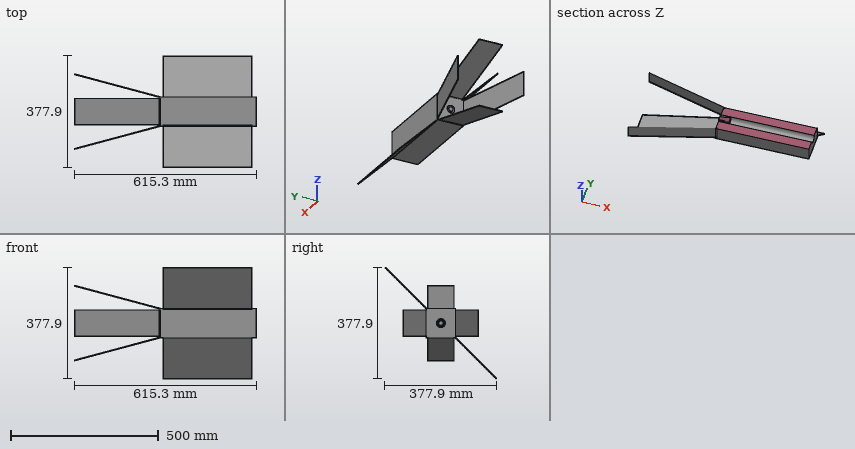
import cadquery as cq
import math

body_length = 330.0
body_width = 100.0
half_width = body_width / 2

bore_radius = 14.4

flap_length = 300.0
flap_width = 90.0
flap_thickness = 3.0
flap_angle = 15.0
flap_overlap = 5.0
flap_count = 4

fin_length = 300.0
fin_width = 200.0
fin_thickness = 3.0
fin_start = 15.0
fin_embed = 5.0
fin_inner_radius = half_width * math.sqrt(2) - fin_embed
fin_angles = (135, 315)

pin_length = 40.0
pin_radius = 8.3
pin_protrusion = 3.0
dome_height = 2.6
sleeve_outer_radius = 12.0
sleeve_inner_radius = 10.2
sleeve_recess = 20.0
spoke_count = 4
spoke_thickness = 1.0


def turned(part, angle):
    """Turn a part about the X axis."""
    return part.rotate((0, 0, 0), (1, 0, 0), angle)


def make_flap(angle):
    """Plate tilted about the middle of its thickness on the top front edge."""
    plate = cq.Workplane("XY").box(flap_length, flap_width, flap_thickness)
    plate = plate.translate((flap_overlap - flap_length / 2, 0, 0))
    tilted = plate.rotate((0, 0, 0), (0, 1, 0), flap_angle)
    return turned(tilted.translate((0, 0, half_width)), angle)


def make_fin(angle):
    """Radial plate reaching outwards from a body corner."""
    blade = cq.Workplane("XY").box(
        fin_length, fin_width, fin_thickness, centered=(False, False, True)
    )
    return turned(blade.translate((fin_start, fin_inner_radius, 0)), angle)


def make_body(embedded_parts):
    """Bored square block with a matching recess for each embedded part."""
    block = (
        cq.Workplane("YZ")
        .rect(body_width, body_width)
        .circle(bore_radius)
        .extrude(body_length)
    )
    for part in embedded_parts:
        block = block.cut(part)
    return block


def make_pin():
    """Round pin with a shallow spherical dome at the front."""
    dome_radius = (pin_radius**2 + dome_height**2) / (2 * dome_height)
    half_angle = math.asin(pin_radius / dome_radius) / 2
    dome_middle = (
        dome_radius * (1 - math.cos(half_angle)),
        dome_radius * math.sin(half_angle),
    )
    return (
        cq.Workplane("XY")
        .moveTo(0, 0)
        .threePointArc(dome_middle, (dome_height, pin_radius))
        .lineTo(pin_length, pin_radius)
        .lineTo(pin_length, 0)
        .close()
        .revolve(360, (0, 0, 0), (1, 0, 0))
        .translate((-pin_protrusion, 0, 0))
    )


def make_insert():
    """Pin, sleeve and spokes as one solid, all ending at the same depth."""
    sleeve_length = pin_length - pin_protrusion - sleeve_recess
    sleeve_start = cq.Workplane("YZ").workplane(offset=sleeve_recess)
    sleeve = (
        sleeve_start.circle(sleeve_outer_radius)
        .circle(sleeve_inner_radius)
        .extrude(sleeve_length)
    )
    spoke_inner = pin_radius / 2
    spoke_outer = (sleeve_inner_radius + sleeve_outer_radius) / 2
    spoke = (
        sleeve_start.center((spoke_inner + spoke_outer) / 2, 0)
        .rect(spoke_outer - spoke_inner, spoke_thickness)
        .extrude(sleeve_length)
    )
    insert = make_pin().union(sleeve)
    for i in range(spoke_count):
        insert = insert.union(turned(spoke, i * 360 / spoke_count))
    return insert


flaps = [make_flap(i * 360 / flap_count) for i in range(flap_count)]
fins = [make_fin(angle) for angle in fin_angles]
body = make_body(flaps + fins)
insert = make_insert()

result = cq.Compound.makeCompound(
    [
        body.val(),
        insert.val(),
        *[flap.val() for flap in flaps],
        *[fin.val() for fin in fins],
    ]
)